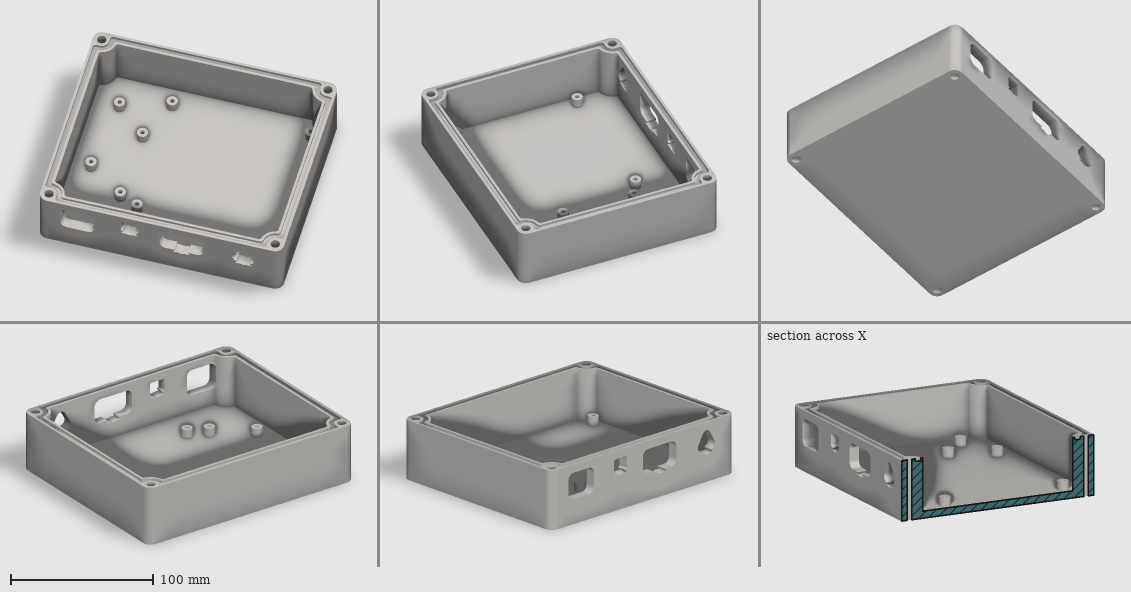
import cadquery as cq
import math

LENGTH = 177.8
WIDTH = 152.4
HEIGHT = 44.5
FLOOR_THICKNESS = 5.5
OVERLAP = 1.8

CORNER_RADIUS = 6.4
SCREW_HOLE_DIAMETER = 6.5
LIP_THICKNESS = 2.0
GROOVE_WIDTH = 3.5
GROOVE_DEPTH = 2.0
INNER_RIM_THICKNESS = 2.0
COLUMN_RADIUS = 5.5
COLUMN_FILLET = 2.0

STANDOFF_DIAMETER = 8.0
STANDOFF_HEIGHT = 7.0
STANDOFF_BORE = 3.2
DRILL_POINT_ANGLE = 118.0
LARGE_BOARD_CENTER = (23.8, 7.5)
LARGE_BOARD_PITCH = (101.2, 93.3)
SMALL_BOARD_STANDOFFS = [(-62.2, 43.4), (-39.6, 22.0), (-67.7, -12.1), (-40.9, -32.0)]

OPENING_TOP = HEIGHT - 6.0
RECTANGULAR_OPENINGS = [
    (-60.1, 24.9, 20.0, 5.0, False),
    (-22.2, 12.5, 10.0, 1.5, True),
    (15.8, 32.4, 18.5, 5.0, True),
]
TRIANGLE_X = 61.0
TRIANGLE_SIDE = 8.2
TRIANGLE_RADIUS = 4.1

NOTCH_NECK_WIDTH = 10.0
NOTCH_FOOT_WIDTH = 12.8
NOTCH_NECK_DEPTH = 0.9
NOTCH_DEPTH = 2.3
TROUGH_WIDTH = 4.6
TROUGH_DEPTH = 0.5

GROOVE_INNER_OFFSET = LIP_THICKNESS + GROOVE_WIDTH
WALL_THICKNESS = GROOVE_INNER_OFFSET + INNER_RIM_THICKNESS
HOLE_X = LENGTH / 2 - CORNER_RADIUS
HOLE_Y = WIDTH / 2 - CORNER_RADIUS
CUT_LENGTH = WALL_THICKNESS + 2 * OVERLAP


def polar(center, radius, angle):
    """Point at a distance and an angle (radians) from center."""
    return (center[0] + radius * math.cos(angle), center[1] + radius * math.sin(angle))


def corner_relief(offset):
    """Corner piece, at +X +Y, that the screw column takes out of an outline inset by offset.

    The column is an arc about the screw hole, run out to both walls by fillets. A straight
    stretch joins arc and fillet where the fillet centre lies beyond the hole.
    """
    hole = (HOLE_X, HOLE_Y)
    radius = COLUMN_RADIUS + offset - LIP_THICKNESS
    wall_x = LENGTH / 2 - offset
    wall_y = WIDTH / 2 - offset

    inward = max(offset + COLUMN_FILLET - CORNER_RADIUS, 0.0)
    reach = radius + COLUMN_FILLET
    lean = math.asin(inward / reach)
    along = reach * math.cos(lean)
    fillet_a = (wall_x - COLUMN_FILLET, HOLE_Y - along)
    fillet_b = (HOLE_X - along, wall_y - COLUMN_FILLET)
    column_a = 1.5 * math.pi - lean
    column_b = math.pi + lean
    diagonal = 1.25 * math.pi

    outline = (
        cq.Workplane("XY")
        .moveTo(wall_x, fillet_a[1])
        .threePointArc(
            polar(fillet_a, COLUMN_FILLET, (math.pi / 2 - lean) / 2),
            polar(fillet_a, COLUMN_FILLET, math.pi / 2 - lean),
        )
    )
    if inward == 0.0:
        outline = outline.lineTo(*polar(hole, radius, column_a))
    outline = outline.threePointArc(polar(hole, radius, diagonal), polar(hole, radius, column_b))
    if inward == 0.0:
        outline = outline.lineTo(*polar(fillet_b, COLUMN_FILLET, 0.0))
    return (
        outline.threePointArc(
            polar(fillet_b, COLUMN_FILLET, (math.pi / 2 + lean) / 2),
            (fillet_b[0], wall_y),
        )
        .lineTo(fillet_b[0], WIDTH / 2)
        .lineTo(LENGTH / 2, WIDTH / 2)
        .lineTo(LENGTH / 2, fillet_a[1])
        .close()
        .extrude(HEIGHT)
    )


def interior(offset, bottom):
    """Space inside walls of thickness offset, from bottom to the top, clear of the screw columns."""
    space = cq.Workplane("XY").box(
        LENGTH - 2 * offset, WIDTH - 2 * offset, HEIGHT, centered=(True, True, False)
    )
    relief = corner_relief(offset)
    relief = relief.union(relief.mirror("YZ"))
    relief = relief.union(relief.mirror("XZ"))
    return space.cut(relief).translate((0, 0, bottom))


def shell():
    """Rounded box with its cavity, the seal groove around the rim and the corner screw holes."""
    block = (
        cq.Workplane("XY")
        .box(LENGTH, WIDTH, HEIGHT, centered=(True, True, False))
        .edges("|Z")
        .fillet(CORNER_RADIUS)
    )
    groove_bottom = HEIGHT - GROOVE_DEPTH
    groove = interior(LIP_THICKNESS, groove_bottom).cut(interior(GROOVE_INNER_OFFSET, groove_bottom))
    screw_holes = (
        cq.Workplane("XY")
        .rect(2 * HOLE_X, 2 * HOLE_Y, forConstruction=True)
        .vertices()
        .circle(SCREW_HOLE_DIAMETER / 2)
        .extrude(HEIGHT)
    )
    return block.cut(groove).cut(interior(WALL_THICKNESS, FLOOR_THICKNESS)).cut(screw_holes)


def standoff_points():
    center_x, center_y = LARGE_BOARD_CENTER
    pitch_x, pitch_y = LARGE_BOARD_PITCH
    large_board = [
        (center_x + sx * pitch_x / 2, center_y + sy * pitch_y / 2) for sx in (-1, 1) for sy in (-1, 1)
    ]
    return large_board + SMALL_BOARD_STANDOFFS


def standoff_post(x, y):
    """Round post standing on the floor."""
    return (
        cq.Workplane("XY", origin=(x, y, FLOOR_THICKNESS))
        .circle(STANDOFF_DIAMETER / 2)
        .extrude(STANDOFF_HEIGHT)
    )


def standoff_bore(x, y):
    """Blind drilled hole, as deep as the post, with its conical point in the floor."""
    radius = STANDOFF_BORE / 2
    point_depth = radius / math.tan(math.radians(DRILL_POINT_ANGLE / 2))
    return (
        cq.Workplane("XZ", origin=(x, y, FLOOR_THICKNESS))
        .moveTo(0, -point_depth)
        .lineTo(radius, 0)
        .lineTo(radius, STANDOFF_HEIGHT)
        .lineTo(0, STANDOFF_HEIGHT)
        .close()
        .revolve(360, (0, 0, 0), (0, 1, 0))
    )


def front_plane(x, z):
    """Sketch plane just behind the front wall; extruding CUT_LENGTH passes out through the wall."""
    return cq.Workplane("XZ", origin=(x, WALL_THICKNESS + OVERLAP - WIDTH / 2, z))


def rectangular_opening(x, width, height, radius):
    return (
        front_plane(x, OPENING_TOP - height / 2)
        .rect(width, height)
        .extrude(CUT_LENGTH)
        .edges("|Y")
        .fillet(radius)
    )


def triangular_opening():
    """Equilateral triangle, point up, with rounded corners."""
    rise = TRIANGLE_SIDE * math.sin(math.pi / 3)
    triangle = [(-TRIANGLE_SIDE / 2, -rise), (TRIANGLE_SIDE / 2, -rise), (0, 0)]
    return (
        front_plane(TRIANGLE_X, OPENING_TOP - TRIANGLE_RADIUS)
        .polyline(triangle)
        .close()
        .offset2D(TRIANGLE_RADIUS, "arc")
        .extrude(CUT_LENGTH)
    )


def notch(x, opening_bottom):
    """Dovetail slot hanging below an opening, with a round trough along its flat bottom."""
    neck = NOTCH_NECK_WIDTH / 2
    foot = NOTCH_FOOT_WIDTH / 2
    trough = TROUGH_WIDTH / 2
    return (
        front_plane(x, opening_bottom)
        .moveTo(-neck, OVERLAP)
        .lineTo(-neck, -NOTCH_NECK_DEPTH)
        .lineTo(-foot, -NOTCH_DEPTH)
        .lineTo(-trough, -NOTCH_DEPTH)
        .threePointArc((0, -NOTCH_DEPTH - TROUGH_DEPTH), (trough, -NOTCH_DEPTH))
        .lineTo(foot, -NOTCH_DEPTH)
        .lineTo(neck, -NOTCH_NECK_DEPTH)
        .lineTo(neck, OVERLAP)
        .close()
        .extrude(CUT_LENGTH)
    )


result = shell()

for x, y in standoff_points():
    result = result.union(standoff_post(x, y)).cut(standoff_bore(x, y))

for x, width, height, radius, has_notch in RECTANGULAR_OPENINGS:
    result = result.cut(rectangular_opening(x, width, height, radius))
    if has_notch:
        result = result.cut(notch(x, OPENING_TOP - height))

triangle_height = TRIANGLE_SIDE * math.sin(math.pi / 3) + 2 * TRIANGLE_RADIUS
result = result.cut(triangular_opening()).cut(notch(TRIANGLE_X, OPENING_TOP - triangle_height))